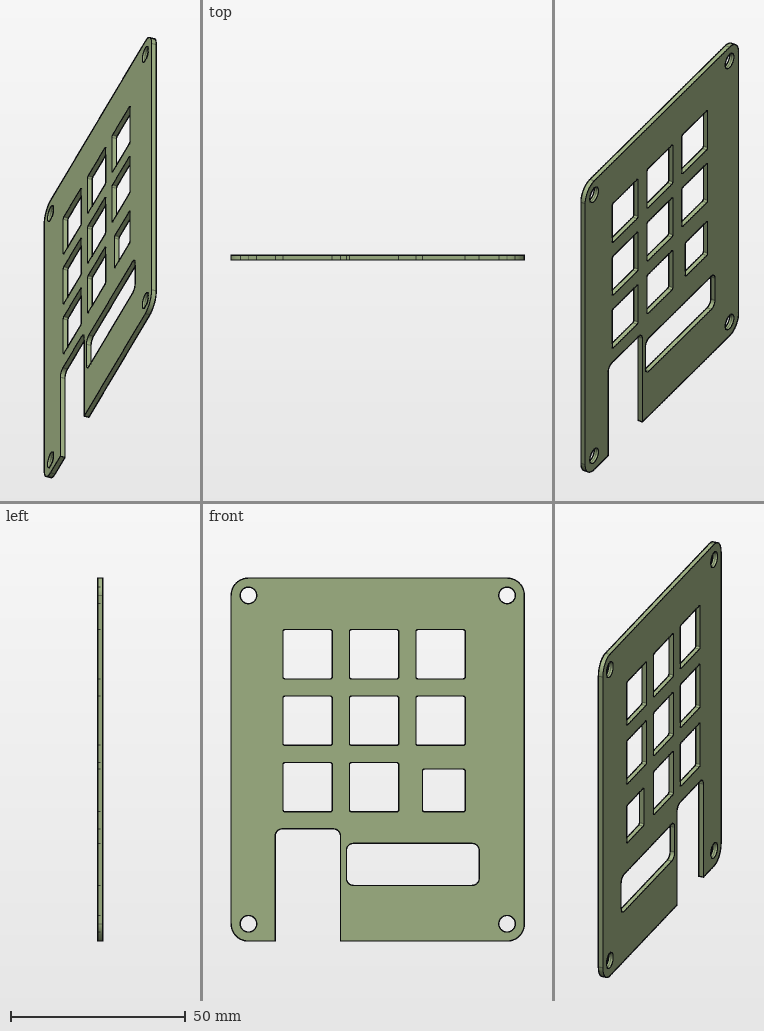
import cadquery as cq

plate_width = 84.0
plate_height = 104.0
plate_thickness = 1.5
corner_radius = 5.0

hole_diameter = 4.7

key_size = 14.0
key_pitch = 19.0
key_corner_radius = 0.5
grid_center_x = -1.0
grid_center_z = 11.1
small_key_size = 12.2

notch_left = -29.3
notch_width = 18.6
notch_depth = 32.1
window_left = -8.9
window_bottom = -36.0
window_width = 38.0
window_height = 12.0
opening_radius = 2.0


def block(left, bottom, width, height):
    """Box spanning the plate thickness, placed by its lower left corner in X and Z."""
    center = (left + width / 2, 0, bottom + height / 2)
    return cq.Workplane("XY").box(width, plate_thickness, height).translate(center)


def rounded_block(left, bottom, width, height, radius):
    """Block with all four corners of its XZ outline rounded."""
    return block(left, bottom, width, height).edges("|Y").fillet(radius)


result = rounded_block(-plate_width / 2, -plate_height / 2, plate_width, plate_height, corner_radius)
mounting_holes = (
    cq.Workplane("XZ")
    .rect(plate_width - 2 * corner_radius, plate_height - 2 * corner_radius, forConstruction=True)
    .vertices()
    .circle(hole_diameter / 2)
    .extrude(plate_thickness, both=True)
)
result = result.cut(mounting_holes)

for column in (-1, 0, 1):
    for row in (-1, 0, 1):
        is_small = column == 1 and row == -1
        size = small_key_size if is_small else key_size
        key_right = grid_center_x + column * key_pitch + key_size / 2
        key_bottom = grid_center_z + row * key_pitch - key_size / 2
        result = result.cut(rounded_block(key_right - size, key_bottom, size, size, key_corner_radius))

notch = block(notch_left, -plate_height / 2, notch_width, notch_depth)
result = result.cut(notch.edges("|Y and >Z").fillet(opening_radius))

result = result.cut(
    rounded_block(window_left, window_bottom, window_width, window_height, opening_radius)
)